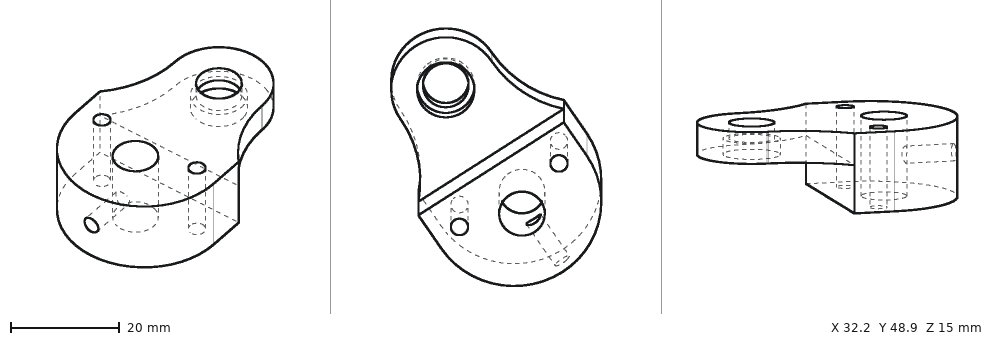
import cadquery as cq

total_length = 48.9
body_width = 32.2
body_height = 15.0
arm_thickness = 5.95
shoulder_y = 7.7
arm_tip_radius = 10.1
flank_straight = 0.3
bore_diameter = 8.4
body_bore_y = -2.65
counterbore_diameter = 10.55
small_hole_diameter = 3.2
small_hole_spacing = 22.0
small_hole_y = 1.6

body_radius = body_width / 2
arm_tip_y = total_length - body_radius - arm_tip_radius
flank_start_y = arm_tip_y - flank_straight
arm_bottom_z = body_height - arm_thickness
counterbore_depth = arm_thickness / 2


def make_body():
    """Full-height block with a semicircular end."""
    return (
        cq.Workplane("XY")
        .moveTo(-body_radius, shoulder_y)
        .lineTo(-body_radius, 0)
        .threePointArc((0, -body_radius), (body_radius, 0))
        .lineTo(body_radius, shoulder_y)
        .close()
        .extrude(body_height)
    )


def make_arm():
    """Thin arm, flush with the top, with concave flanks leading to a round tip."""
    flank_inset = body_radius - arm_tip_radius
    flank_length = flank_start_y - shoulder_y
    flank_radius = (flank_inset**2 + flank_length**2) / (2 * flank_inset)
    return (
        cq.Workplane("XY", origin=(0, 0, arm_bottom_z))
        .moveTo(body_radius, shoulder_y)
        .radiusArc((arm_tip_radius, flank_start_y), flank_radius)
        .lineTo(arm_tip_radius, arm_tip_y)
        .threePointArc((0, arm_tip_y + arm_tip_radius), (-arm_tip_radius, arm_tip_y))
        .lineTo(-arm_tip_radius, flank_start_y)
        .radiusArc((-body_radius, shoulder_y), flank_radius)
        .close()
        .extrude(arm_thickness)
    )


def vertical_holes(points, diameter):
    """Cutters passing through the full height."""
    return cq.Workplane("XY").pushPoints(points).circle(diameter / 2).extrude(body_height)


def arm_counterbore():
    """Wider recess around the arm bore, open to the underside of the arm."""
    return (
        cq.Workplane("XY", origin=(0, arm_tip_y, arm_bottom_z))
        .circle(counterbore_diameter / 2)
        .extrude(counterbore_depth)
    )


def cross_hole():
    """Mid-height hole from the round end into the body bore."""
    return (
        cq.Workplane("XZ", origin=(0, body_bore_y, body_height / 2))
        .circle(small_hole_diameter / 2)
        .extrude(body_radius)
    )


bores = vertical_holes([(0, body_bore_y), (0, arm_tip_y)], bore_diameter)
small_holes = vertical_holes(
    [(side * small_hole_spacing / 2, small_hole_y) for side in (-1, 1)],
    small_hole_diameter,
)

result = make_body().union(make_arm())
for cutter in (bores, small_holes, arm_counterbore(), cross_hole()):
    result = result.cut(cutter)